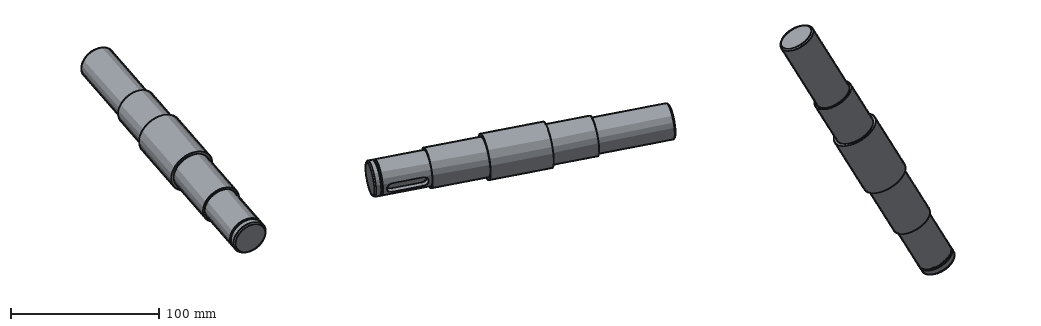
import cadquery as cq

shaft_length = 210.5
journal_diameter = 25.0
shoulder_diameter = 28.0
collar_diameter = 32.0

left_shoulder_start = 54.0
collar_start = 86.3
collar_end = 130.3
right_shoulder_end = 170.3

end_chamfer = 1.0

groove_start = 204.6
groove_width = 1.3
groove_diameter = 23.0

keyway_start = 172.8
keyway_length = 29.0
keyway_width = 8.0
keyway_depth = 4.0


def cylinder_between(x_start, x_end, diameter):
    """Solid cylinder on the X axis between two positions."""
    return cq.Workplane("YZ", origin=(x_start, 0, 0)).circle(diameter / 2).extrude(x_end - x_start)


def stepped_shaft():
    """Chamfered full-length shaft with the shoulder and collar around it."""
    core = cylinder_between(0, shaft_length, journal_diameter).faces("<X or >X").chamfer(end_chamfer)
    shoulder = cylinder_between(left_shoulder_start, right_shoulder_end, shoulder_diameter)
    collar = cylinder_between(collar_start, collar_end, collar_diameter)
    return core.union(shoulder).union(collar)


def ring_groove():
    """Ring of material removed for the retaining ring."""
    groove_end = groove_start + groove_width
    outer = cylinder_between(groove_start, groove_end, collar_diameter)
    return outer.cut(cylinder_between(groove_start, groove_end, groove_diameter))


def keyway():
    """Slot reaching from the keyway floor out past the journal surface."""
    floor_y = journal_diameter / 2 - keyway_depth
    center_x = keyway_start + keyway_length / 2
    return (
        cq.Workplane("XZ", origin=(center_x, floor_y, 0))
        .slot2D(keyway_length, keyway_width)
        .extrude(-2 * keyway_depth)
    )


result = stepped_shaft().cut(ring_groove()).cut(keyway())